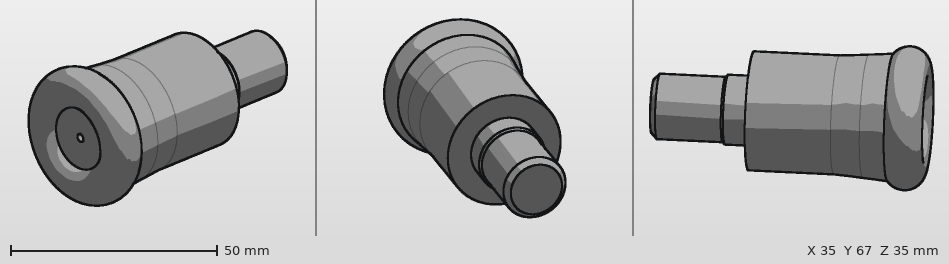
import cadquery as cq
import math

total_length = 67.0
flare_middle = 15.0
flare_back = 22.1
body_back = 43.0
collar_back = 49.0
collar_bevel = 0.6
tip_chamfer = 1.4

rim_radius = 17.5
flare_radius = 15.55
flare_middle_radius = 15.0
body_radius = 14.5
collar_radius = 8.5
stem_radius = 8.0

rim_tube_radius = 5.0
rim_center_radius = rim_radius - rim_tube_radius
dish_radius = 7.9
dish_drop = 0.6

center_hole_radius = 1.0
center_hole_depth = 2.0


def rim_rise(radius):
    """Axial distance between the tube's center and its surface at a given radius."""
    return math.sqrt(rim_tube_radius**2 - (radius - rim_center_radius) ** 2)


dish_edge_depth = rim_tube_radius - rim_rise(dish_radius)
dish_center_depth = dish_edge_depth + dish_drop
rim_back = rim_tube_radius + rim_rise(flare_radius)

profile = (
    cq.Workplane("XY")
    .moveTo(0, dish_center_depth)
    .lineTo(dish_radius, dish_edge_depth)
    .threePointArc((rim_radius, rim_tube_radius), (flare_radius, rim_back))
    .lineTo(flare_middle_radius, flare_middle)
    .lineTo(body_radius, flare_back)
    .lineTo(body_radius, body_back)
    .lineTo(collar_radius, body_back)
    .lineTo(collar_radius, collar_back)
    .lineTo(stem_radius, collar_back + collar_bevel)
    .lineTo(stem_radius, total_length - tip_chamfer)
    .lineTo(stem_radius - tip_chamfer, total_length)
    .lineTo(0, total_length)
    .close()
)
body = profile.revolve(360, (0, 0), (0, 1))

hole_end = dish_center_depth + center_hole_depth
center_hole = cq.Workplane("XZ").circle(center_hole_radius).extrude(-hole_end)

result = body.cut(center_hole)